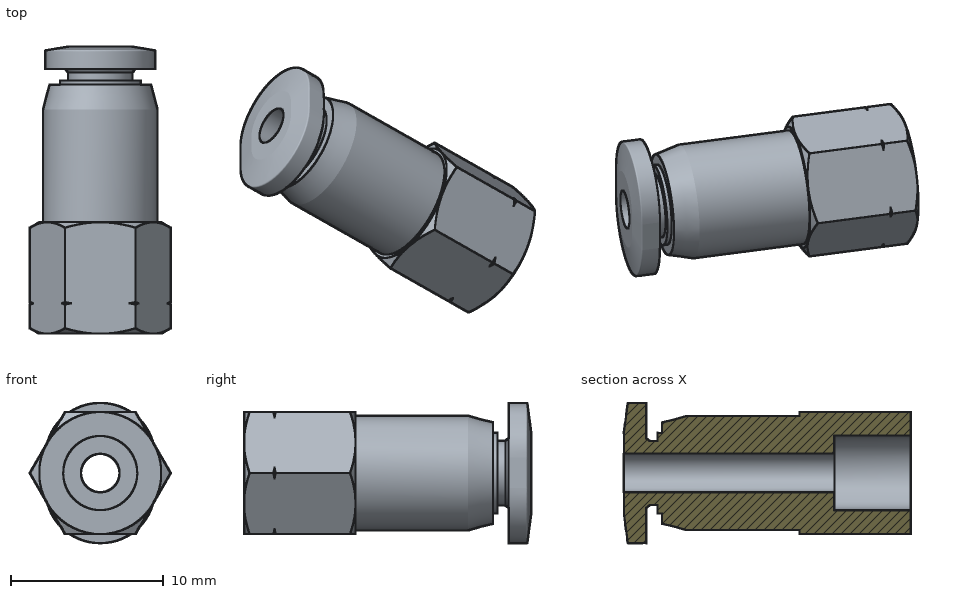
import cadquery as cq
import math

LENGTH = 18.8
HEX_LENGTH = 7.3
BODY_END = 14.66
SHOULDER_END = 16.3
COLLAR_END = 16.58
NECK_END = 17.09
BUTTON_START = 17.31
CROWN_START = 18.54

HEX_CORNERS = 9.23
HEX_CORNER_RADIUS = HEX_CORNERS / 2
HEX_FLAT_RADIUS = HEX_CORNER_RADIUS * math.cos(math.pi / 6)
CHAMFER_ANGLE = math.radians(30)
GROOVE_POSITION = 2.0
GROOVE_WIDTH = 0.15
GROOVE_DEPTH = 0.19

BODY_RADIUS = 3.76
SHOULDER_RADIUS = 3.33
COLLAR_RADIUS = 2.65
NECK_RADIUS = 2.12
FLARE_RADIUS = 2.3

BUTTON_WIDTH = 7.22
BUTTON_HEIGHT = 9.2
CROWN_FACE_SCALE = 0.57
RIM_FILLET = 0.1

SOCKET_RADIUS = 2.43
SOCKET_DEPTH = 5.0
PASSAGE_RADIUS = 1.25


def plane_at(y):
    """Sketch plane facing +Y, with local x along +Z and local y along +X."""
    return cq.Workplane(cq.Plane(origin=(0, y, 0), xDir=(0, 0, 1), normal=(0, 1, 0)))


def revolve_profile(points):
    """Solid of revolution about Y from (radius, y) points."""
    return cq.Workplane("XY").polyline(points).close().revolve(360, (0, 0), (0, 1))


def hex_nut():
    drop = (HEX_CORNER_RADIUS - HEX_FLAT_RADIUS) * math.tan(CHAMFER_ANGLE)
    chamfered_envelope = revolve_profile([
        (0, 0),
        (HEX_FLAT_RADIUS, 0),
        (HEX_CORNER_RADIUS, drop),
        (HEX_CORNER_RADIUS, GROOVE_POSITION - GROOVE_WIDTH / 2),
        (HEX_CORNER_RADIUS - GROOVE_DEPTH, GROOVE_POSITION),
        (HEX_CORNER_RADIUS, GROOVE_POSITION + GROOVE_WIDTH / 2),
        (HEX_CORNER_RADIUS, HEX_LENGTH - drop),
        (HEX_FLAT_RADIUS, HEX_LENGTH),
        (0, HEX_LENGTH),
    ])
    prism = plane_at(0).polygon(6, HEX_CORNERS).extrude(HEX_LENGTH)
    prism = prism.rotate((0, 0, 0), (0, 1, 0), 90)
    return prism.intersect(chamfered_envelope)


def round_body():
    return revolve_profile([
        (0, 0),
        (BODY_RADIUS, 0),
        (BODY_RADIUS, BODY_END),
        (SHOULDER_RADIUS, SHOULDER_END),
        (COLLAR_RADIUS, SHOULDER_END),
        (COLLAR_RADIUS, COLLAR_END),
        (NECK_RADIUS, COLLAR_END),
        (NECK_RADIUS, NECK_END),
        (FLARE_RADIUS, BUTTON_START),
        (0, BUTTON_START),
    ])


def release_button():
    plate = plane_at(BUTTON_START).slot2D(BUTTON_HEIGHT, BUTTON_WIDTH).extrude(CROWN_START - BUTTON_START)
    crown = (
        plane_at(CROWN_START)
        .slot2D(BUTTON_HEIGHT, BUTTON_WIDTH)
        .workplane(offset=LENGTH - CROWN_START)
        .slot2D(BUTTON_HEIGHT * CROWN_FACE_SCALE, BUTTON_WIDTH * CROWN_FACE_SCALE)
        .loft(ruled=True)
    )
    rim_zone = cq.selectors.BoxSelector(
        (-BUTTON_WIDTH, CROWN_START - RIM_FILLET, -BUTTON_HEIGHT),
        (BUTTON_WIDTH, CROWN_START + RIM_FILLET, BUTTON_HEIGHT),
    )
    return plate.union(crown).edges(rim_zone).fillet(RIM_FILLET)


def bore():
    socket = plane_at(0).circle(SOCKET_RADIUS).extrude(SOCKET_DEPTH)
    passage = plane_at(0).circle(PASSAGE_RADIUS).extrude(LENGTH)
    return socket.union(passage)


result = hex_nut().union(round_body()).union(release_button()).cut(bore())